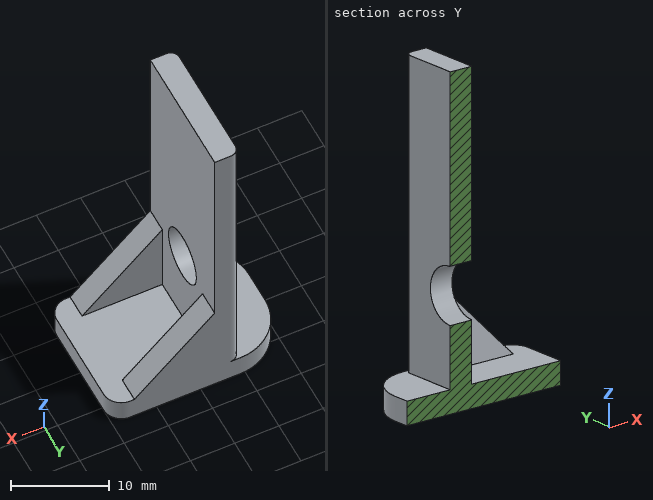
import cadquery as cq

length = 20.0
width = 14.65
height = 36.7
base_thickness = 2.68
front_corner_radius = 5.5
back_corner_radius = 2.02

wall_start = 5.6
wall_thickness = 2.83
wall_edge_radius = 1.0
wall_back = wall_start + wall_thickness

hole_diameter = 6.3
hole_height = 12.7

gusset_leg = 9.05
gusset_thickness = 2.75


def make_base():
    plate = cq.Workplane("XY").box(length, width, base_thickness, centered=(False, True, False))
    plate = plate.edges("|Z and <X").fillet(front_corner_radius)
    return plate.edges("|Z and >X").fillet(back_corner_radius)


def make_wall():
    wall = (
        cq.Workplane("XY", origin=(wall_start, 0, base_thickness))
        .box(wall_thickness, width, height - base_thickness, centered=(False, True, False))
        .edges("|Z and <X")
        .fillet(wall_edge_radius)
    )
    hole = (
        cq.Workplane("YZ", origin=(wall_start, 0, hole_height))
        .circle(hole_diameter / 2)
        .extrude(wall_thickness)
    )
    return wall.cut(hole)


def make_gusset(outer_y, direction):
    """Triangular rib behind the wall, growing from outer_y along direction (+1 or -1 in Y)."""
    return (
        cq.Workplane("XZ", origin=(0, outer_y, 0))
        .moveTo(wall_back, base_thickness)
        .lineTo(wall_back + gusset_leg, base_thickness)
        .lineTo(wall_back, base_thickness + gusset_leg)
        .close()
        .extrude(-direction * gusset_thickness)
    )


result = make_base().union(make_wall())
for side in (-1, 1):
    result = result.union(make_gusset(side * width / 2, -side))